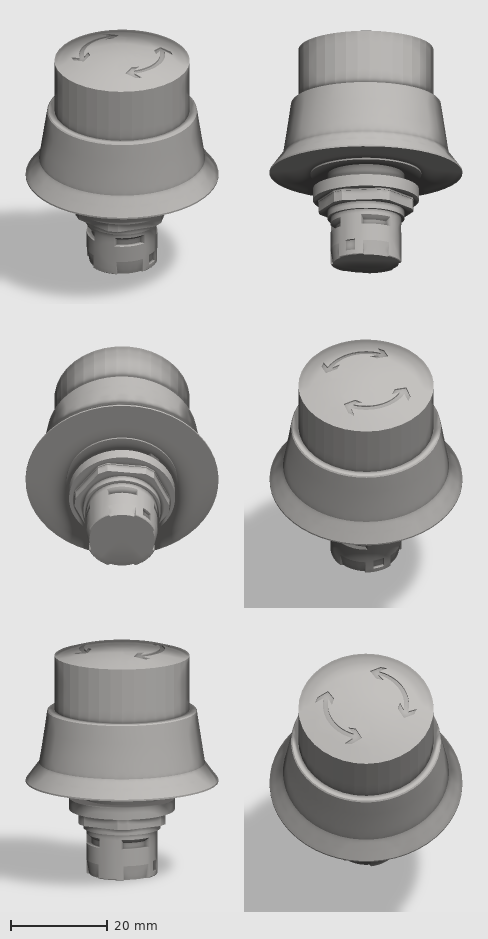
import cadquery as cq
import math

PLUG_TOP = 9.7
NUT_BOTTOM = 11.2
NUT_TOP = 13.3
COLLAR_BOTTOM = 13.65
COLLAR_TOP = 16.1
TAB_BOTTOM = 17.5
GASKET_BOTTOM = 19.2
SKIRT_BOTTOM = 19.5
RIM_TOP = 19.85
SHOULDER_TOP = 23.6
SKIRT_TOP = 34.75
KNOB_EDGE = 46.15
TOP = 48.55

PLUG_D = 14.7
NECK_D = 16.0
UPPER_NECK_D = 15.92
COLLAR_D = 22.0
GASKET_D = 23.0
RIM_D = 40.0
SHOULDER_D = 34.4
SKIRT_TOP_D = 31.05
KNOB_D = 28.05
PLUG_EDGE = 0.15
SKIRT_EDGE = 0.25

KNOB_FACETS = 36

NUT_FLATS = 18.0
NUT_CORNER_D = 19.7
NUT_TURN = -9.5
SEAT_MARGIN = 0.25

TAB_REACH = 9.55
TAB_WIDTH = 2.45

WINDOW_BOTTOM = 6.55
WINDOW_TOP = 8.55
WINDOW_FLOOR_D = 12.7
WINDOW_CEILING_DROP = 0.83
WINDOW_WALL = 2.45
RELIEF_TOP = 3.0
RELIEF_BOTTOM_D = 13.6
RELIEF_WALL = 2.75

POCKET_SIZE = 2.3
POCKET_BOTTOM = 1.05
POCKET_DEPTH = 0.7

ARROW_OUTER_R = 8.95
ARROW_INNER_R = 7.9
ARROW_DEPTH = 0.35
OUTER_BARB = [(8.65, 6.0), (7.55, 6.95), (5.05, 6.95), (5.05, 4.4), (6.2, 3.35)]
OUTER_NECK_X = 6.7
INNER_NECK_X = 6.0


def disc(diameter, bottom, top):
    return cq.Workplane("XY").workplane(offset=bottom).circle(diameter / 2).extrude(top - bottom)


def make_plug():
    plug = disc(PLUG_D, 0, PLUG_TOP).faces("<Z").chamfer(PLUG_EDGE)
    neck = disc(NECK_D, PLUG_TOP, TAB_BOTTOM)
    upper_neck = disc(UPPER_NECK_D, TAB_BOTTOM, SKIRT_BOTTOM)
    return plug.union(neck).union(upper_neck)


def nut_prism(flats, corner_d, bottom, top):
    """Hexagonal prism whose corners are trimmed flat, touching the circle corner_d."""
    points = []
    half_face = math.degrees(math.acos(flats / corner_d))
    for face in range(6):
        for side in (-half_face, half_face):
            angle = math.radians(270 + NUT_TURN + 60 * face + side)
            points.append((corner_d / 2 * math.cos(angle), corner_d / 2 * math.sin(angle)))
    return cq.Workplane("XY").workplane(offset=bottom).polyline(points).close().extrude(top - bottom)


def make_nut():
    nut = nut_prism(NUT_FLATS, NUT_CORNER_D, NUT_BOTTOM, NUT_TOP)
    seat = nut_prism(NUT_FLATS + SEAT_MARGIN, NUT_CORNER_D + SEAT_MARGIN, NUT_TOP, COLLAR_BOTTOM)
    return nut.union(seat).union(disc(COLLAR_D, COLLAR_BOTTOM, COLLAR_TOP))


def make_tab():
    height = GASKET_BOTTOM - TAB_BOTTOM
    return (
        cq.Workplane("XY")
        .workplane(offset=TAB_BOTTOM)
        .center(TAB_REACH / 2, 0)
        .rect(TAB_REACH, TAB_WIDTH)
        .extrude(height)
    )


def make_skirt():
    outline = [
        (0, SKIRT_BOTTOM),
        (RIM_D / 2, SKIRT_BOTTOM),
        (RIM_D / 2, RIM_TOP),
        (SHOULDER_D / 2, SHOULDER_TOP),
        (SKIRT_TOP_D / 2, SKIRT_TOP - SKIRT_EDGE),
        (SKIRT_TOP_D / 2 - SKIRT_EDGE, SKIRT_TOP),
        (0, SKIRT_TOP),
    ]
    skirt = cq.Workplane("XZ").polyline(outline).close().revolve(360, (0, 0), (0, 1))
    return skirt.union(disc(GASKET_D, GASKET_BOTTOM, SKIRT_BOTTOM))


def dome_radius():
    rise = TOP - KNOB_EDGE
    return (rise**2 + (KNOB_D / 2) ** 2) / (2 * rise)


def dome_sphere(drop=0.0):
    return cq.Workplane("XY").sphere(dome_radius()).translate((0, 0, TOP - dome_radius() - drop))


def make_knob():
    prism = (
        cq.Workplane("XY")
        .workplane(offset=SKIRT_TOP)
        .polygon(KNOB_FACETS, KNOB_D)
        .extrude(TOP - SKIRT_TOP)
    )
    return prism.intersect(dome_sphere())


def on_circle(radius, x):
    return (x, math.sqrt(radius**2 - x**2))


def mirrored(point):
    return (point[0], -point[1])


def make_arrow():
    """Cutter for the arrow on the +X side; it stops a fixed depth below the dome."""
    outer_neck = on_circle(ARROW_OUTER_R, OUTER_NECK_X)
    inner_neck = on_circle(ARROW_INNER_R, INNER_NECK_X)
    outline = cq.Workplane("XY").workplane(offset=KNOB_EDGE).moveTo(*outer_neck)
    for point in OUTER_BARB + [inner_neck]:
        outline = outline.lineTo(*point)
    outline = outline.threePointArc((ARROW_INNER_R, 0), mirrored(inner_neck))
    for point in reversed(OUTER_BARB):
        outline = outline.lineTo(*mirrored(point))
    outline = outline.lineTo(*mirrored(outer_neck))
    outline = outline.threePointArc((ARROW_OUTER_R, 0), outer_neck)
    return outline.close().extrude(TOP - KNOB_EDGE).cut(dome_sphere(ARROW_DEPTH))


def quadrant_ring(profile, wall):
    """Ring of a radial (r, z) profile, kept only where both |x| and |y| exceed wall."""
    ring = cq.Workplane("XZ").polyline(profile).close().revolve(360, (0, 0), (0, 1))
    return ring.cut(cross_bar(2 * wall, NECK_D)).cut(cross_bar(NECK_D, 2 * wall))


def cross_bar(x_size, y_size):
    return cq.Workplane("XY").rect(x_size, y_size).extrude(PLUG_TOP)


def make_windows():
    outside = NECK_D / 2
    floor = WINDOW_FLOOR_D / 2
    slope = WINDOW_CEILING_DROP / (PLUG_D / 2 - floor)
    profile = [
        (floor, WINDOW_BOTTOM),
        (outside, WINDOW_BOTTOM),
        (outside, WINDOW_TOP + slope * (outside - PLUG_D / 2)),
        (floor, WINDOW_TOP - WINDOW_CEILING_DROP),
    ]
    return quadrant_ring(profile, WINDOW_WALL)


def make_reliefs():
    outside = NECK_D / 2
    profile = [
        (RELIEF_BOTTOM_D / 2, 0),
        (outside, 0),
        (outside, RELIEF_TOP),
        (PLUG_D / 2, RELIEF_TOP),
    ]
    return quadrant_ring(profile, RELIEF_WALL)


def make_pocket():
    floor = PLUG_D / 2 - POCKET_DEPTH
    return (
        cq.Workplane("YZ")
        .workplane(offset=floor)
        .center(0, POCKET_BOTTOM + POCKET_SIZE / 2)
        .rect(POCKET_SIZE, POCKET_SIZE)
        .extrude(NECK_D / 2 - floor)
    )


result = make_plug().union(make_nut()).union(make_tab()).union(make_skirt()).union(make_knob())
result = result.cut(make_windows()).cut(make_reliefs())

for one_side in (make_pocket(), make_arrow()):
    result = result.cut(one_side).cut(one_side.mirror("YZ"))